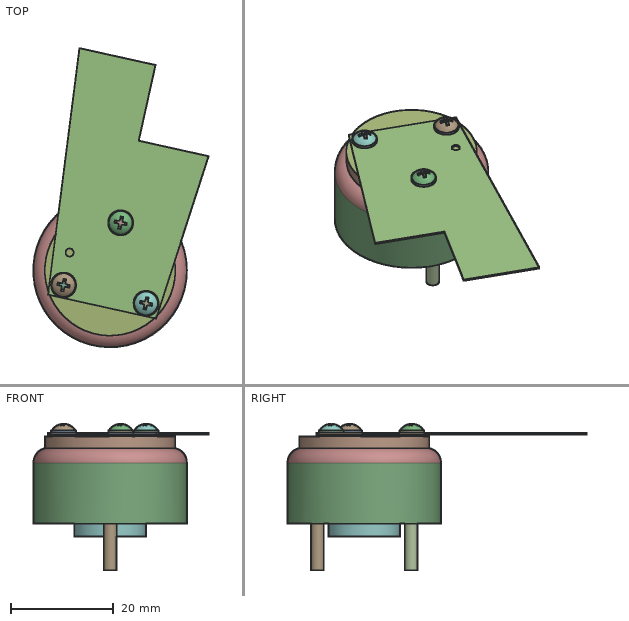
import cadquery as cq
import math

HOUSING_DIAMETER = 30.0
SHOULDER_START = 11.85
SHOULDER_RADIUS = 3.0
BOSS_DIAMETER = 14
BOSS_DEPTH = 2.5
PIN_DIAMETER = 2.55
PIN_SPACING = 18.25
PIN_LENGTH = 9.1

CAP_DIAMETER = 25.4
CAP_TOP = 17.05

PLATE_TILT = -12.5
PLATE_THICKNESS = 0.35
PLATE_END_HALF_WIDTH = 10.8
PLATE_END = -7.25
TAB_SIDE = -15.2
TAB_END = 41.0
STEP_Y = 25.9
STEP_SIDE = 13.95
PLATE_HOLE_DIAMETER = 1.6
PLATE_HOLE_X = -8.45
PLATE_HOLE_Y = 1.7

SPACER_DIAMETER = 4.55
SPACER_HEIGHT = 0.3

SCREW_COUNT = 3
SCREW_CIRCLE_RADIUS = 9.5
HEAD_DIAMETER = 4.9
HEAD_HEIGHT = 1.8
HEAD_RIM_HEIGHT = 0.5
HEAD_EDGE_RADIUS = 0.145
RECESS_SPAN = 2.9
RECESS_FLOOR_SPAN = 1.65
RECESS_ARM_WIDTH = 0.5
RECESS_CORE_WIDTH = 1.0
RECESS_DEPTH = 0.75

housing_radius = HOUSING_DIAMETER / 2
cap_radius = CAP_DIAMETER / 2
shoulder_centre_radius = housing_radius - SHOULDER_RADIUS
shoulder_end_angle = math.acos((cap_radius - shoulder_centre_radius) / SHOULDER_RADIUS)
housing_top = SHOULDER_START + SHOULDER_RADIUS * math.sin(shoulder_end_angle)
plate_bottom = CAP_TOP + SPACER_HEIGHT
plate_top = plate_bottom + PLATE_THICKNESS


def tilted(workplane):
    """Turn a body about the vertical axis by the tilt of the plate."""
    return workplane.rotate((0, 0, 0), (0, 0, 1), PLATE_TILT)


def shoulder_point(angle):
    """Point of the rounded shoulder in the (radius, height) profile."""
    return (
        shoulder_centre_radius + SHOULDER_RADIUS * math.cos(angle),
        SHOULDER_START + SHOULDER_RADIUS * math.sin(angle),
    )


def make_housing():
    can = (
        cq.Workplane("XZ")
        .lineTo(housing_radius, 0)
        .lineTo(housing_radius, SHOULDER_START)
        .threePointArc(shoulder_point(shoulder_end_angle / 2), shoulder_point(shoulder_end_angle))
        .lineTo(0, housing_top)
        .close()
        .revolve(360, (0, 0, 0), (0, 1, 0))
    )
    boss = cq.Workplane("XY").circle(BOSS_DIAMETER / 2).extrude(-BOSS_DEPTH)
    pins = (
        cq.Workplane("XY")
        .pushPoints([(0, -PIN_SPACING / 2), (0, PIN_SPACING / 2)])
        .circle(PIN_DIAMETER / 2)
        .extrude(-PIN_LENGTH)
    )
    return can.union(boss).union(pins)


def make_cap():
    base = cq.Workplane("XY").workplane(offset=housing_top)
    return base.circle(cap_radius).extrude(CAP_TOP - housing_top)


def make_plate():
    outline = [
        (-PLATE_END_HALF_WIDTH, PLATE_END),
        (PLATE_END_HALF_WIDTH, PLATE_END),
        (STEP_SIDE, STEP_Y),
        (0, STEP_Y),
        (0, TAB_END),
        (TAB_SIDE, TAB_END),
    ]
    base = cq.Workplane("XY").workplane(offset=plate_bottom)
    blank = base.polyline(outline).close().extrude(PLATE_THICKNESS)
    hole = base.center(PLATE_HOLE_X, PLATE_HOLE_Y).circle(PLATE_HOLE_DIAMETER / 2).extrude(PLATE_THICKNESS)
    return tilted(blank.cut(hole))


def make_spacer(x, y):
    spacer = (
        cq.Workplane("XY")
        .workplane(offset=CAP_TOP)
        .center(x, y)
        .circle(SPACER_DIAMETER / 2)
        .extrude(SPACER_HEIGHT)
    )
    return tilted(spacer)


def make_recess():
    """Cross-shaped cutter that hangs down from the top of a screw head centred on the origin."""
    floor_height = HEAD_HEIGHT - RECESS_DEPTH
    arm_profile = [
        (-RECESS_SPAN / 2, HEAD_HEIGHT),
        (RECESS_SPAN / 2, HEAD_HEIGHT),
        (RECESS_FLOOR_SPAN / 2, floor_height),
        (-RECESS_FLOOR_SPAN / 2, floor_height),
    ]
    arm = cq.Workplane("XZ").polyline(arm_profile).close().extrude(RECESS_ARM_WIDTH / 2, both=True)
    cross_arm = arm.rotate((0, 0, 0), (0, 0, 1), 90)
    core = (
        cq.Workplane("XY")
        .workplane(offset=floor_height)
        .rect(RECESS_CORE_WIDTH, RECESS_CORE_WIDTH)
        .extrude(RECESS_DEPTH)
        .rotate((0, 0, 0), (0, 0, 1), 45)
    )
    return arm.union(cross_arm).union(core)


def make_screw(x, y):
    """Domed head on a rim whose two edges are rounded."""
    rim_radius = HEAD_DIAMETER / 2
    inner_radius = rim_radius - HEAD_EDGE_RADIUS
    dome_height = HEAD_HEIGHT - HEAD_RIM_HEIGHT
    dome_radius = (inner_radius**2 + dome_height**2) / (2 * dome_height)
    mid_radius = inner_radius / 2
    mid_height = HEAD_HEIGHT - dome_radius + math.sqrt(dome_radius**2 - mid_radius**2)
    head = (
        cq.Workplane("XZ")
        .lineTo(inner_radius, 0)
        .radiusArc((rim_radius, HEAD_EDGE_RADIUS), -HEAD_EDGE_RADIUS)
        .lineTo(rim_radius, HEAD_RIM_HEIGHT - HEAD_EDGE_RADIUS)
        .radiusArc((inner_radius, HEAD_RIM_HEIGHT), -HEAD_EDGE_RADIUS)
        .threePointArc((mid_radius, mid_height), (0, HEAD_HEIGHT))
        .close()
        .revolve(360, (0, 0, 0), (0, 1, 0))
    )
    return tilted(head.cut(make_recess()).translate((x, y, plate_top)))


housing = make_housing()
cap = make_cap()
plate = make_plate()

spacers = []
screws = []
for index in range(SCREW_COUNT):
    angle = math.radians(90 + index * 360 / SCREW_COUNT)
    x = SCREW_CIRCLE_RADIUS * math.cos(angle)
    y = SCREW_CIRCLE_RADIUS * math.sin(angle)
    spacers.append(make_spacer(x, y).val())
    screws.append(make_screw(x, y).val())

result = cq.Compound.makeCompound([housing.val(), cap.val(), plate.val(), *spacers, *screws])